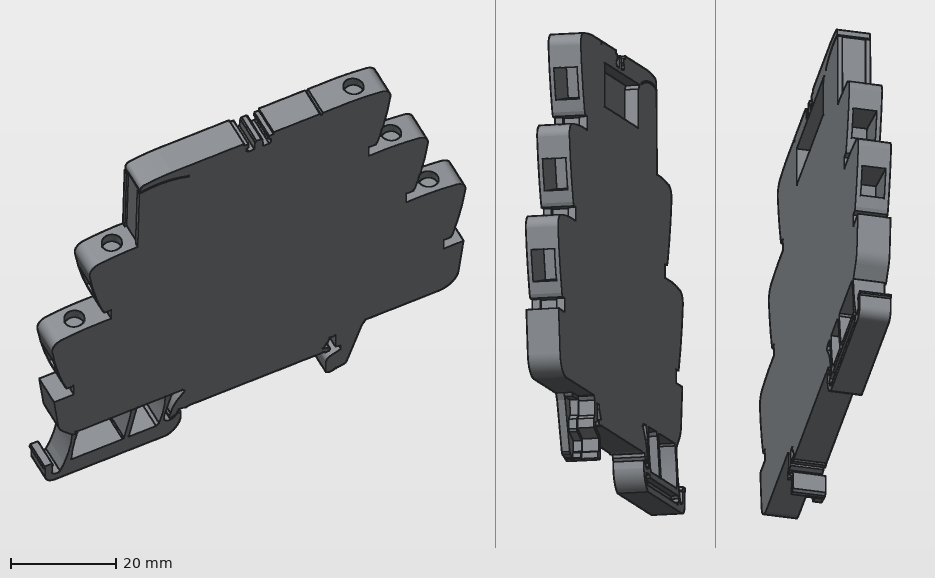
import cadquery as cq
import math

thickness = 6.4
height = 81.45
half_length = 43.95
foot_tip_y = -45.6
x_left = -thickness / 2

tier_count = 3
tier_rise = 18.97
tier_setback = 7.97
base_top_z = height - tier_count * tier_rise
notch_y = 39.35
notch_height = 2.65
notch_lip_y = 40.8
flank_bottom_y = 41.2
flank_bottom_rise = 3.35
flank_top_rise = 15.8
flank_bulge = 0.3
corner_start_y = 41.8
corner_drop = 0.6
corner_bulge_y = 0.54
corner_bulge_drop = 1.45
slope_mid_drop = 0.2
slope_start_y = 35.4

base_edge_y = 43.55
base_low_y = 42.5
base_low_z = 15.9
base_bottom_z = 12.05
base_left_end_y = 38.4
rail_face_z = 7.05

storey_floor = base_top_z + (tier_count - 1) * tier_rise
front_wall_top_y = -25.4
front_wall_bottom_y = -25.76
front_wall_top_z = 78.8
lid_front_y = -25.2
panel_width = 4.55
panel_top_z = 79.0
panel_depth = 0.4

screw_y = 37.65
screw_diameter = 3.9
screw_depth = 2.2
entry_width = 4.6
entry_bottom_rise = 5.6
entry_height = 6.1
entry_depth = 9.0
marker_recess_width = 3.3
marker_recess_depth = 1.0

window_y_front = -12.6
window_y_back = 11.05
window_bottom_z = 69.15
window_top_z = 77.65
window_corner = 0.95
window_depth = 2.75
foot_width = 6.05
foot_groove_depth = 1.5
web_width = 1.6
ledge_width = 3.2
gap_width = 0.3


def prism(points, width=thickness, x_start=x_left):
    """Closed YZ polygon extruded along +X."""
    return cq.Workplane("YZ", origin=(x_start, 0, 0)).polyline(points).close().extrude(width)


def centred_box(width, y_from, y_to, z_from, z_to):
    """Box centred on X, between the given Y and Z limits."""
    centre = (0, (y_from + y_to) / 2, (z_from + z_to) / 2)
    return cq.Workplane("XY").box(width, y_to - y_from, z_to - z_from).translate(centre)


def tier(level):
    """+Y half of one terminal tier, from the middle plane to its bulged flank."""
    floor = base_top_z + level * tier_rise
    top = floor + tier_rise
    inset = level * tier_setback
    tip_y = half_length - inset
    low_y = flank_bottom_y - inset
    corner_y = corner_start_y - inset
    flat_y = slope_start_y - inset
    flank_low_z = floor + flank_bottom_rise
    flank_high_z = floor + flank_top_rise
    flank_mid = ((tip_y + low_y) / 2 + flank_bulge, (flank_low_z + flank_high_z) / 2)
    corner_mid = (tip_y - corner_bulge_y, top - corner_bulge_drop)
    return (
        cq.Workplane("YZ", origin=(x_left, 0, 0))
        .moveTo(0, floor)
        .lineTo(notch_y - inset, floor)
        .lineTo(notch_y - inset, floor + notch_height)
        .lineTo(notch_lip_y - inset, floor + notch_height)
        .lineTo(low_y, flank_low_z)
        .threePointArc(flank_mid, (tip_y, flank_high_z))
        .threePointArc(corner_mid, (corner_y, top - corner_drop))
        .threePointArc(((corner_y + flat_y) / 2, top - slope_mid_drop), (flat_y, top))
        .lineTo(0, top)
        .close()
        .extrude(thickness)
    )


def tier_openings(level):
    """Screw hole, wire entry and marker recess of one tier on the +Y end."""
    floor = base_top_z + level * tier_rise
    top = floor + tier_rise
    inset = level * tier_setback
    screw = (
        cq.Workplane("XY", origin=(0, screw_y - inset, top - screw_depth))
        .circle(screw_diameter / 2)
        .extrude(2 * screw_depth)
    )

    lean = math.atan2(half_length - flank_bottom_y, flank_top_rise - flank_bottom_rise)
    entry_z = floor + entry_bottom_rise
    rise_on_flank = entry_bottom_rise - flank_bottom_rise
    entry_y = flank_bottom_y + rise_on_flank * math.tan(lean) + flank_bulge - inset
    overshoot = 2.0
    entry = (
        centred_box(entry_width, -entry_depth, overshoot, 0, entry_height)
        .rotate((0, 0, 0), (1, 0, 0), -math.degrees(lean))
        .translate((0, entry_y, entry_z))
    )

    wall_y = notch_y - inset
    recess_y = wall_y - marker_recess_depth
    marker = centred_box(marker_recess_width, recess_y, wall_y, floor, floor + notch_height)
    return screw, entry, marker


def base():
    """Lower housing with the rail opening's undercut edges."""
    return (
        cq.Workplane("YZ", origin=(x_left, 0, 0))
        .moveTo(base_edge_y, base_top_z)
        .lineTo(base_low_y, base_low_z)
        .threePointArc((41.3, 13.4), (base_left_end_y, base_bottom_z))
        .lineTo(18.8, base_bottom_z)
        .lineTo(16.3, 10.85)
        .lineTo(15.0, 10.85)
        .lineTo(14.85, 9.95)
        .lineTo(13.6, 8.2)
        .lineTo(14.9, 7.9)
        .threePointArc((15.15, 7.4), (14.9, 6.85))
        .lineTo(14.1, 6.8)
        .lineTo(13.7, rail_face_z)
        .lineTo(-14.8, rail_face_z)
        .lineTo(-15.6, 6.8)
        .lineTo(-16.25, rail_face_z)
        .lineTo(-17.1, rail_face_z)
        .lineTo(-17.2, 6.4)
        .lineTo(-17.7, 5.8)
        .lineTo(-18.95, 5.4)
        .lineTo(-19.1, 6.2)
        .lineTo(-18.75, 6.8)
        .threePointArc((-18.1, 8.9), (-17.2, 10.3))
        .lineTo(-15.75, 12.05)
        .lineTo(-16.2, 12.65)
        .lineTo(-39.0, 12.65)
        .lineTo(-39.0, 12.15)
        .lineTo(-39.55, 12.15)
        .lineTo(-41.6, 14.37)
        .threePointArc((-42.38, 15.59), (-42.7, 17.0))
        .lineTo(-base_edge_y, base_top_z)
        .close()
        .extrude(thickness)
    )


def upper_block():
    """Part of the top storey on the -Y end, with the rounded lid front."""
    return (
        cq.Workplane("YZ", origin=(x_left, 0, 0))
        .moveTo(0, storey_floor)
        .lineTo(front_wall_bottom_y, storey_floor)
        .lineTo(front_wall_top_y, front_wall_top_z)
        .lineTo(lid_front_y, front_wall_top_z)
        .lineTo(lid_front_y, 79.9)
        .threePointArc((-24.85, 80.55), (-24.0, 80.9))
        .threePointArc((-21.2, 81.3), (-18.5, height))
        .lineTo(0, height)
        .close()
        .extrude(thickness)
    )


def front_panel_recess():
    """Shallow sunk panel in the front wall of the upper block."""
    panel_clearance = 1.0
    panel = [
        (front_wall_bottom_y - panel_clearance, storey_floor),
        (front_wall_bottom_y + panel_depth, storey_floor),
        (front_wall_top_y + panel_depth, panel_top_z),
        (front_wall_top_y - panel_clearance, panel_top_z),
    ]
    return prism(panel, panel_width, -panel_width / 2)


def lid_gap():
    """Curved parting gap between the lid and the front wall, open at the front."""
    gap_start = (-14.85, 78.0)
    gap_crest = (-21.1, 79.25)
    gap_end = (-26.0, 78.6)
    upper_start, upper_crest, upper_end = [(y, z + gap_width) for y, z in (gap_start, gap_crest, gap_end)]
    return (
        cq.Workplane("YZ", origin=(x_left, 0, 0))
        .moveTo(*gap_start)
        .threePointArc(gap_crest, gap_end)
        .lineTo(*upper_end)
        .threePointArc(upper_crest, upper_start)
        .close()
        .extrude(thickness)
    )


def lid_notch():
    """Small V where the back edge of the lid reaches the top face."""
    notch_centre_y = 13.3
    half_width = 0.3
    depth = 0.6
    left = (notch_centre_y + half_width, height)
    tip = (notch_centre_y, height - depth)
    right = (notch_centre_y - half_width, height)
    return prism([left, tip, right])


def label_slots():
    """Pair of undercut slots in the top face, leaving a rib in the middle."""
    slot = [
        (3.15, height),
        (3.15, 80.85),
        (2.2, 80.85),
        (2.1, 80.0),
        (2.65, 79.5),
        (2.65, 78.9),
        (2.2, 78.5),
        (0.95, 78.5),
        (0.8, 80.5),
        (0.5, 80.85),
        (0, 80.85),
        (0, height),
    ]
    return prism(slot).union(prism(slot).mirror("XZ"))


def label_window():
    """Rectangular recess in the -X face with one slanted upper corner."""
    outline = [
        (window_y_back, window_bottom_z),
        (window_y_back, window_top_z),
        (window_y_front - window_corner, window_top_z),
        (window_y_front, window_top_z - window_corner),
        (window_y_front, window_bottom_z),
    ]
    return prism(outline, window_depth)


def foot():
    """Release foot: rounded runner with an end hook, hung on three slanted legs."""
    leg_top_z = 12.85
    opening_top_z = 12.65
    opening_bottom_z = 4.2
    outer = (
        cq.Workplane("YZ", origin=(x_left, 0, 0))
        .moveTo(-18.05, leg_top_z)
        .lineTo(-18.6, 11.2)
        .lineTo(-19.95, 6.4)
        .lineTo(-19.95, 5.1)
        .threePointArc((-18.85, 4.4), (-17.75, 4.9))
        .lineTo(-17.2, 5.55)
        .lineTo(-16.4, 5.55)
        .lineTo(-16.4, 4.1)
        .threePointArc((-17.3, 1.7), (-19.4, 0))
        .lineTo(-43.45, 0)
        .threePointArc((-44.7, 0.6), (-45.25, 2.0))
        .lineTo(-45.25, 4.45)
        .lineTo(foot_tip_y, 4.7)
        .lineTo(-45.4, 5.25)
        .lineTo(-43.8, 5.25)
        .lineTo(-43.55, 4.6)
        .lineTo(-43.8, 4.3)
        .lineTo(-43.8, 2.3)
        .threePointArc((-42.9, 1.75), (-42.1, 2.0))
        .lineTo(-41.25, 3.9)
        .threePointArc((-40.0, 8.1), (-39.5, 12.15))
        .lineTo(-39.0, leg_top_z)
        .close()
        .extrude(foot_width)
    )
    narrow_opening = (
        cq.Workplane("YZ", origin=(x_left, 0, 0))
        .moveTo(-19.7, opening_top_z)
        .lineTo(-25.25, opening_top_z)
        .lineTo(-25.85, 11.9)
        .lineTo(-27.5, opening_bottom_z)
        .lineTo(-21.7, opening_bottom_z)
        .lineTo(-21.05, 4.75)
        .threePointArc((-20.0, 8.9), (-19.7, opening_top_z))
        .close()
        .extrude(foot_width)
    )
    wide_opening = (
        cq.Workplane("YZ", origin=(x_left, 0, 0))
        .moveTo(-27.2, opening_top_z)
        .lineTo(-38.0, opening_top_z)
        .lineTo(-38.3, 12.2)
        .threePointArc((-39.2, 8.5), (-39.7, opening_bottom_z))
        .lineTo(-28.8, opening_bottom_z)
        .lineTo(-28.5, 4.5)
        .threePointArc((-27.45, 9.2), (-26.9, 12.2))
        .close()
        .extrude(foot_width)
    )
    groove = [
        (-18.1, 2.85),
        (-18.5, 3.5),
        (-20.65, 3.5),
        (-21.25, 2.95),
        (-40.5, 2.95),
        (-41.0, 2.45),
        (-41.0, 1.75),
        (-40.5, 1.25),
        (-19.3, 1.25),
        (-18.5, 1.9),
    ]
    return outer.cut(narrow_opening).cut(wide_opening).cut(prism(groove, foot_groove_depth))


def spring_clip():
    """Full-width bent spring with a narrower ledge and a thin stiffening web behind it."""
    root_z = 12.2
    spring = (
        cq.Workplane("YZ", origin=(x_left, 0, 0))
        .moveTo(18.8, root_z)
        .lineTo(18.0, 11.2)
        .lineTo(18.0, 8.3)
        .lineTo(18.8, 7.6)
        .lineTo(18.8, 5.8)
        .lineTo(15.4, 4.3)
        .lineTo(15.4, 1.8)
        .lineTo(15.95, 1.6)
        .lineTo(15.95, 0.4)
        .lineTo(14.85, 0.2)
        .lineTo(14.25, 0.6)
        .lineTo(14.25, 3.7)
        .threePointArc((14.6, 4.65), (15.4, 5.2))
        .lineTo(17.45, 6.0)
        .lineTo(17.4, 7.05)
        .lineTo(16.3, 7.35)
        .lineTo(16.3, root_z)
        .close()
        .extrude(thickness)
    )
    ledge = [
        (22.7, base_bottom_z),
        (22.2, 11.4),
        (18.5, 11.4),
        (18.4, 8.4),
        (19.4, 7.5),
        (19.4, 5.6),
        (19.1, 5.1),
        (16.0, 3.9),
        (16.0, 1.8),
        (16.45, 1.5),
        (16.4, 0.55),
        (14.5, 0.55),
        (14.9, 4.8),
        (17.6, 6.0),
        (17.6, base_bottom_z),
    ]
    web = [
        (22.7, base_bottom_z),
        (21.9, 10.8),
        (18.65, 1.4),
        (18.2, 0.95),
        (15.0, 0.4),
        (15.0, 4.8),
        (17.6, 6.0),
        (17.6, base_bottom_z),
    ]
    x_right = thickness / 2
    ledge_solid = prism(ledge, ledge_width, x_right - ledge_width)
    web_solid = prism(web, web_width, x_right - web_width)
    return spring.union(ledge_solid).union(web_solid)


def with_mirror(solid, level):
    """The +Y solid and, except on the top storey, its mirror image on the -Y end."""
    if level == tier_count - 1:
        return [solid]
    return [solid, solid.mirror("XZ")]


housing = base().union(upper_block()).union(foot()).union(spring_clip())
for level in range(tier_count):
    for half in with_mirror(tier(level), level):
        housing = housing.union(half)

for level in range(tier_count):
    for opening in tier_openings(level):
        for cutter in with_mirror(opening, level):
            housing = housing.cut(cutter)
housing = housing.cut(label_slots())
housing = housing.cut(label_window()).cut(front_panel_recess()).cut(lid_gap()).cut(lid_notch())

result = housing.clean()